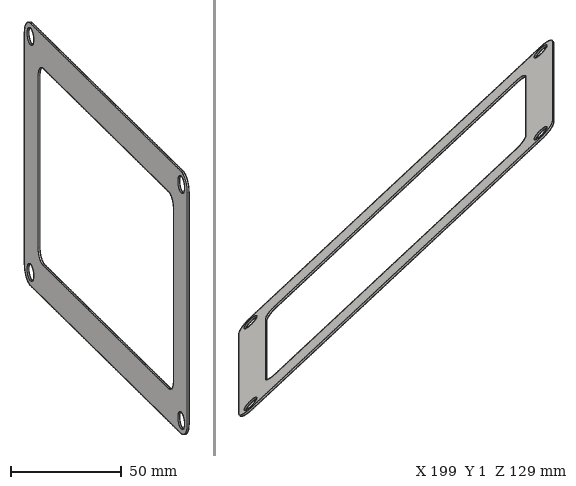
import cadquery as cq

plate_width = 199.0
plate_height = 129.0
plate_thickness = 1.0
plate_corner_radius = 7.5

window_width = 165.2
window_height = 96.7
window_corner_radius = 6.0

hole_diameter = 8.2
hole_spacing_x = 184.0
hole_spacing_z = 116.0


def rounded_slab(width, height, corner_radius):
    """Slab centred on the origin, with its four corners rounded along Y."""
    slab = cq.Workplane("XZ").box(width, height, plate_thickness)
    return slab.edges("|Y").fillet(corner_radius)


plate = rounded_slab(plate_width, plate_height, plate_corner_radius)
window = rounded_slab(window_width, window_height, window_corner_radius)

mounting_holes = (
    cq.Workplane("XZ")
    .rect(hole_spacing_x, hole_spacing_z, forConstruction=True)
    .vertices()
    .circle(hole_diameter / 2)
    .extrude(plate_thickness, both=True)
)

result = plate.cut(window).cut(mounting_holes)